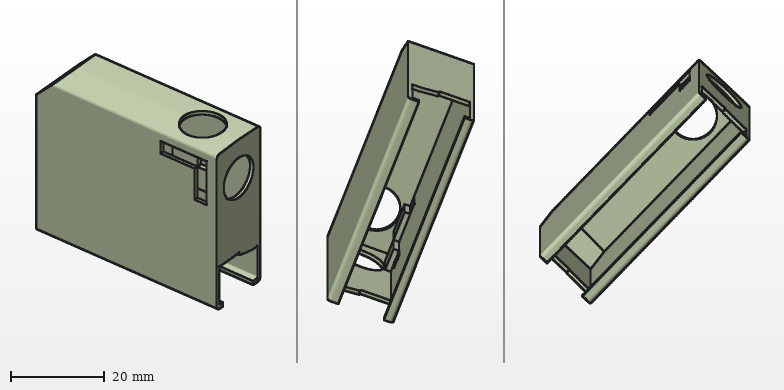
import cadquery as cq
import math

length = 49.0
width = 15.0
height = 40.0
wall = 0.95
half_width = width / 2
inner_half_width = half_width - wall

ridge_rise = 0.25
edge_radius = 1.0
end_chamfer = 5.0

back_lip_reach = 2.5
front_lip_reach = 2.15
lip_thickness = 1.05
lip_fillet = 0.4

notch_high = 10.85
notch_low = 9.2
notch_slope_top = 10.15
notch_slope_start = half_width - 2.85
notch_step = half_width - 7.15

hole_diameter = 10.2
roof_hole_x = length - 9.65
end_hole_z = 30.2

slot_width = 3.2
slot_right = length - 2.8
slot_top = 37.2
slot_arm_x = 12.4
slot_arm_z = 11.15
slot_end_opening = 2.45
plate_thickness = 1.25


def box(x_range, y_range, z_range):
    """Axis-aligned box between pairs of limits."""
    sizes = [end - start for start, end in (x_range, y_range, z_range)]
    start_corner = (x_range[0], y_range[0], z_range[0])
    return cq.Workplane("XY").box(*sizes, centered=False).translate(start_corner)


def ridged_block_and_corner(half_span, bottom, top, x_start, x_end, corner_cut):
    """Ridge-roofed block and the 45 degree wedge to cut from its upper -X corner."""
    eaves = top - ridge_rise
    section = [
        (-half_span, bottom),
        (half_span, bottom),
        (half_span, eaves),
        (0, top),
        (-half_span, eaves),
    ]
    block = (
        cq.Workplane("YZ", origin=(x_start, 0, 0))
        .polyline(section).close().extrude(x_end - x_start)
    )
    corner = (
        cq.Workplane("XZ")
        .polyline([(x_start, top), (x_start + corner_cut, top), (x_start, top - corner_cut)])
        .close().extrude(half_span, both=True)
    )
    return block, corner


def make_shell():
    """Hollow housing with rounded long edges and an open bottom."""
    outer, outer_corner = ridged_block_and_corner(half_width, 0, height, 0, length, end_chamfer)
    outer = outer.faces("<Y or >Y").edges("|X").fillet(edge_radius).cut(outer_corner)

    inner_cut = end_chamfer - wall * (2 - math.sqrt(2))
    inner, inner_corner = ridged_block_and_corner(
        inner_half_width, lip_thickness, height - wall, wall, length - wall, inner_cut
    )
    inner = inner.edges("|X and <Z").fillet(lip_fillet).cut(inner_corner)
    mouth_sides = (-half_width + front_lip_reach, half_width - back_lip_reach)
    mouth = box((0, length), mouth_sides, (0, notch_low))
    return outer.cut(inner).cut(mouth)


def make_notch():
    """End-wall opening, cut through the whole length above the lips."""
    return (
        cq.Workplane("YZ")
        .moveTo(-inner_half_width, lip_thickness)
        .lineTo(inner_half_width, lip_thickness)
        .lineTo(inner_half_width, notch_low)
        .lineTo(notch_slope_start, notch_low)
        .lineTo(notch_step, notch_slope_top)
        .lineTo(notch_step, notch_high)
        .lineTo(-inner_half_width, notch_high)
        .close().extrude(length)
        .edges("|X and <Z").fillet(lip_fillet)
    )


def make_round_holes():
    """Drill solids for the roof hole and the end-wall hole."""
    roof_hole = (
        cq.Workplane("XY", origin=(roof_hole_x, 0, height - end_chamfer))
        .circle(hole_diameter / 2).extrude(end_chamfer)
    )
    end_hole = (
        cq.Workplane("YZ", origin=(length - 2 * wall, 0, end_hole_z))
        .circle(hole_diameter / 2).extrude(2 * wall)
    )
    return roof_hole.union(end_hole)


slot_left = slot_right - slot_arm_x
slot_bottom = slot_top - slot_arm_z
slot_inner_x = slot_right - slot_width
slot_inner_z = slot_top - slot_width


def make_slot():
    """Cutting solid for both arms of the L-shaped slot."""
    through_wall = (-half_width, -inner_half_width)
    along = box((slot_left, slot_right), through_wall, (slot_inner_z, slot_top))
    down = box((slot_inner_x, slot_right), through_wall, (slot_bottom, slot_top))
    return along.union(down)


def make_backing_plates():
    """One plate hangs from the roof, the other stands out from the +X wall."""
    behind_wall = (-inner_half_width, -inner_half_width + plate_thickness)
    hanging = box(
        (slot_left + slot_end_opening, slot_inner_x),
        behind_wall,
        (slot_inner_z, height - wall - ridge_rise),
    )
    standing = box(
        (slot_inner_x, length - wall),
        behind_wall,
        (slot_bottom + slot_end_opening, slot_inner_z),
    )
    return hanging.union(standing)


shell = make_shell().cut(make_notch()).cut(make_round_holes())
result = shell.cut(make_slot()).union(make_backing_plates())